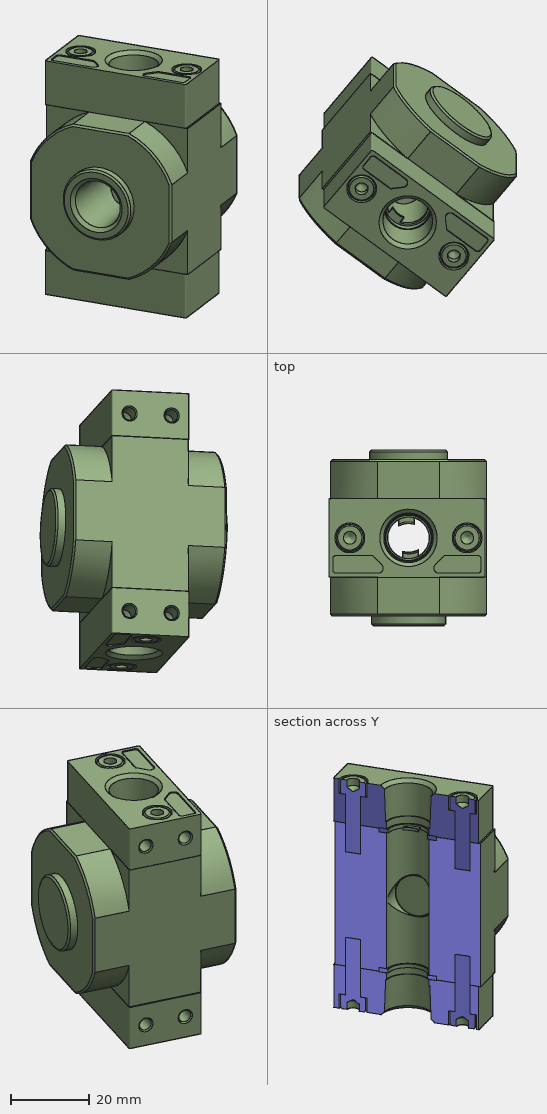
import cadquery as cq
import math

OVERALL_HEIGHT = 64

HOUSING_SIZE = 40.0
NECK_WIDTH = 20.0
BARREL_DIAMETER = 43.0
BARREL_CHAMFER = 0.5
BOSS_LENGTH = 2.5
BOSS_CHAMFER = 0.5
FRONT_BOSS_DIAMETER = 19.1

PORT_MOUTH_DIAMETER = 14.65
PORT_TAPER_DIAMETER = 12.7
BORE_DIAMETER = 11.6
FRONT_PORT_DEPTH = 12.0
BLOCK_PORT_DEPTH = 10.0
BLOCK_PORT_END_DIAMETER = 12.0
PORT_MOUTH_DEPTH = (PORT_MOUTH_DIAMETER - PORT_TAPER_DIAMETER) / 2

PLUG_FLANGE_DIAMETER = 20.0
PLUG_FACE_CHAMFER = 0.25

BLOCK_LENGTH = 39.95
BLOCK_WIDTH = 20.15
BLOCK_HEIGHT = (OVERALL_HEIGHT - HOUSING_SIZE) / 2
BLOCK_OVERHANG = 0.4
BLOCK_CORNER_RADIUS = 0.4

SIDE_HOLE_DIAMETER = 3.25
SIDE_HOLE_MOUTH_DIAMETER = 4.0
SIDE_HOLE_OFFSET = 5.5
SIDE_HOLE_DEPTH = 6.0
DRILL_POINT_ANGLE = 118

LABEL_OUTER_X = 18.95
LABEL_SLANT_X = 9.15
LABEL_NEAR_Y = 4.55
LABEL_FAR_Y = 9.0
LABEL_NOSE_RADIUS = 1.3
LABEL_CORNER_RADIUS = 0.8
LABEL_DEPTH = 0.3

SCREW_SPACING = 30.0
HEAD_DIAMETER = 7.0
HEAD_HEIGHT = 4.0
HEAD_CHAMFER = 0.4
COUNTERBORE_DIAMETER = 7.6
SHANK_DIAMETER = 4.0
SHANK_IN_HOUSING = 8.0
SOCKET_DIAMETER = 3.25
SOCKET_DEPTH = 2.0

SEAL_OUTER_DIAMETER = 15.6
SEAL_INNER_DIAMETER = 10.6
SEAL_THICKNESS = 1.0
TAB_THICKNESS = 0.5
TAB_REACH_Y = 3.65
TAB_END_RADIUS = 5.3
TAB_LIP_WIDTH = 0.45
TAB_LIP_HEIGHT = 0.3
TAB_START_X = -2.5
TAB_END_X = 1.5

HALF_HOUSING = HOUSING_SIZE / 2
FRONT_Y = -HALF_HOUSING - BOSS_LENGTH
REAR_Y = HALF_HOUSING + BOSS_LENGTH
TOP_Z = HALF_HOUSING + BLOCK_HEIGHT
BLOCK_CENTER_X = -HALF_HOUSING - BLOCK_OVERHANG + BLOCK_LENGTH / 2
SCREW_XS = (-SCREW_SPACING / 2, SCREW_SPACING / 2)
SHANK_LENGTH = BLOCK_HEIGHT - HEAD_HEIGHT + SHANK_IN_HOUSING


def cylinder_z(diameter, bottom, top, x=0):
    return cq.Workplane("XY", origin=(x, 0, bottom)).circle(diameter / 2).extrude(top - bottom)


def cylinder_y(diameter, front, rear):
    return cq.Workplane("XZ", origin=(0, front, 0)).circle(diameter / 2).extrude(front - rear)


def revolved_cutter(profile, end_depth):
    """Solid of revolution running down from z = 0, from (diameter, depth) steps."""
    points = [(diameter / 2, -depth) for diameter, depth in profile]
    outline = [(0, 0), *points, (0, -end_depth)]
    return cq.Workplane("XZ").polyline(outline).close().revolve(360, (0, 0, 0), (0, 1, 0))


def port_cutter(end_diameter, depth):
    profile = [
        (PORT_MOUTH_DIAMETER, 0),
        (PORT_TAPER_DIAMETER, PORT_MOUTH_DEPTH),
        (end_diameter, depth),
    ]
    return revolved_cutter(profile, depth)


def side_hole_cutter():
    mouth_depth = (SIDE_HOLE_MOUTH_DIAMETER - SIDE_HOLE_DIAMETER) / 2
    point_length = SIDE_HOLE_DIAMETER / 2 / math.tan(math.radians(DRILL_POINT_ANGLE / 2))
    profile = [
        (SIDE_HOLE_MOUTH_DIAMETER, 0),
        (SIDE_HOLE_DIAMETER, mouth_depth),
        (SIDE_HOLE_DIAMETER, SIDE_HOLE_DEPTH),
    ]
    return revolved_cutter(profile, SIDE_HOLE_DEPTH + point_length)


def turned_over(body):
    """The same body at the lower end: half a turn about the X axis."""
    return body.rotate((0, 0, 0), (1, 0, 0), 180)


def make_housing():
    barrel = cylinder_y(BARREL_DIAMETER, -HALF_HOUSING, HALF_HOUSING)
    barrel = barrel.intersect(cq.Workplane("XY").box(HOUSING_SIZE, HOUSING_SIZE, HOUSING_SIZE))
    barrel = barrel.faces("<Y or >Y").chamfer(BARREL_CHAMFER)
    neck = cq.Workplane("XY").box(HOUSING_SIZE, NECK_WIDTH, HOUSING_SIZE)
    boss = cylinder_y(FRONT_BOSS_DIAMETER, FRONT_Y, 0).faces("<Y").chamfer(BOSS_CHAMFER)
    housing = barrel.union(neck).union(boss)

    housing = housing.cut(cylinder_z(BORE_DIAMETER, -HALF_HOUSING, HALF_HOUSING))
    housing = housing.cut(cylinder_y(BORE_DIAMETER, FRONT_Y, HALF_HOUSING))
    front_port = port_cutter(BORE_DIAMETER, FRONT_PORT_DEPTH).rotate((0, 0, 0), (1, 0, 0), 90)
    housing = housing.cut(front_port.translate((0, FRONT_Y, 0)))

    recess = cylinder_z(SEAL_OUTER_DIAMETER, HALF_HOUSING - SEAL_THICKNESS, HALF_HOUSING)
    cutters = [recess]
    for x in SCREW_XS:
        cutters.append(cylinder_z(SHANK_DIAMETER, HALF_HOUSING - SHANK_IN_HOUSING, HALF_HOUSING, x))
    for cutter in cutters:
        housing = housing.cut(cutter).cut(turned_over(cutter))
    return housing


def make_plug():
    flange = cylinder_y(PLUG_FLANGE_DIAMETER, HALF_HOUSING, REAR_Y).faces(">Y").chamfer(BOSS_CHAMFER)
    spigot = cylinder_y(BORE_DIAMETER, BORE_DIAMETER / 2, HALF_HOUSING)
    return flange.union(spigot.faces("<Y").chamfer(PLUG_FACE_CHAMFER))


def label_cutter(side):
    """Pocket with a 45-degree end towards the port; side is -1 or 1 along X."""
    nose_x = LABEL_SLANT_X - (LABEL_FAR_Y - LABEL_NEAR_Y)
    outer_x = BLOCK_CENTER_X + side * LABEL_OUTER_X
    outline = [
        (outer_x, -LABEL_NEAR_Y),
        (side * LABEL_SLANT_X, -LABEL_NEAR_Y),
        (side * nose_x, -LABEL_FAR_Y),
        (outer_x, -LABEL_FAR_Y),
    ]
    pocket = cq.Workplane("XY", origin=(0, 0, TOP_Z - LABEL_DEPTH)).polyline(outline).close()
    pocket = pocket.extrude(LABEL_DEPTH)
    nose_edge = ">X" if side < 0 else "<X"
    outer_face = "<X" if side < 0 else ">X"
    pocket = pocket.edges("|Z").edges(nose_edge).fillet(LABEL_NOSE_RADIUS)
    return pocket.faces(outer_face).edges("|Z").fillet(LABEL_CORNER_RADIUS)


def make_block():
    block = cq.Workplane("XY").box(BLOCK_LENGTH, BLOCK_WIDTH, BLOCK_HEIGHT)
    block = block.edges("|Z").fillet(BLOCK_CORNER_RADIUS)
    middle_z = HALF_HOUSING + BLOCK_HEIGHT / 2
    block = block.translate((BLOCK_CENTER_X, 0, middle_z))
    block = block.cut(cylinder_z(BORE_DIAMETER, HALF_HOUSING, TOP_Z))
    port = port_cutter(BLOCK_PORT_END_DIAMETER, BLOCK_PORT_DEPTH)
    block = block.cut(port.translate((0, 0, TOP_Z)))

    for x in SCREW_XS:
        block = block.cut(cylinder_z(COUNTERBORE_DIAMETER, TOP_Z - HEAD_HEIGHT, TOP_Z, x))
        block = block.cut(cylinder_z(SHANK_DIAMETER, HALF_HOUSING, TOP_Z, x))

    side_hole = side_hole_cutter().rotate((0, 0, 0), (0, 1, 0), -90)
    end_x = BLOCK_CENTER_X - BLOCK_LENGTH / 2
    for y in (-SIDE_HOLE_OFFSET, SIDE_HOLE_OFFSET):
        block = block.cut(side_hole.translate((end_x, y, middle_z)))

    for side in (-1, 1):
        block = block.cut(label_cutter(side))
    return block


def make_screw(x):
    head = cylinder_z(HEAD_DIAMETER, TOP_Z - HEAD_HEIGHT, TOP_Z).faces(">Z").chamfer(HEAD_CHAMFER)
    shank = cylinder_z(SHANK_DIAMETER, TOP_Z - HEAD_HEIGHT - SHANK_LENGTH, TOP_Z - HEAD_HEIGHT)
    point_length = SOCKET_DIAMETER / 2 / math.tan(math.radians(DRILL_POINT_ANGLE / 2))
    profile = [(SOCKET_DIAMETER, 0), (SOCKET_DIAMETER, SOCKET_DEPTH)]
    socket = revolved_cutter(profile, SOCKET_DEPTH + point_length).translate((0, 0, TOP_Z))
    return head.union(shank).cut(socket).translate((x, 0, 0))


def make_seal():
    bottom = HALF_HOUSING - SEAL_THICKNESS
    disc = cylinder_z(SEAL_OUTER_DIAMETER, bottom, HALF_HOUSING)
    ring = disc.cut(cylinder_z(SEAL_INNER_DIAMETER, bottom, HALF_HOUSING))

    dish_outer = SEAL_OUTER_DIAMETER / 2
    profile = [
        (TAB_END_RADIUS, 0),
        (dish_outer, 0),
        (dish_outer, TAB_THICKNESS),
        (TAB_END_RADIUS + TAB_LIP_WIDTH, TAB_THICKNESS),
        (TAB_END_RADIUS, TAB_THICKNESS + TAB_LIP_HEIGHT),
    ]
    dish = cq.Workplane("XZ").polyline(profile).close().revolve(360, (0, 0, 0), (0, 1, 0))
    dish = dish.translate((0, TAB_REACH_Y - TAB_END_RADIUS, bottom))
    band = cq.Workplane("XY", origin=(TAB_START_X, 0, bottom))
    band = band.rect(TAB_END_X - TAB_START_X, dish_outer, centered=False).extrude(SEAL_THICKNESS)
    tab = dish.intersect(band)
    return ring.union(tab)


housing = make_housing()
plug = make_plug()
upper_block = make_block()
blocks = [upper_block, turned_over(upper_block)]
upper_screws = [make_screw(x) for x in SCREW_XS]
screws = upper_screws + [turned_over(screw) for screw in upper_screws]
upper_seal = make_seal()
lower_seal = upper_seal.rotate((0, 0, 0), (0, 0, 1), 180)
lower_seal = lower_seal.translate((0, 0, SEAL_THICKNESS - HOUSING_SIZE))
seals = [upper_seal, lower_seal]

bodies = [housing, plug, *blocks, *screws, *seals]
result = cq.Compound.makeCompound([body.val() for body in bodies])